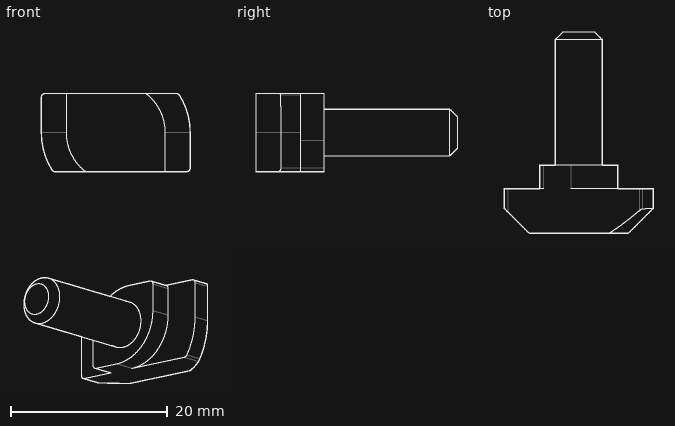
import cadquery as cq
import math


head_length = 19.0
head_width = 10.0
head_thickness = 5.7
rim_thickness = 2.5
head_turn_radius = 9.0
corner_radius = 0.5

neck_length = 3.0
neck_turn_radius = 6.0

shank_diameter = 6.0
shank_length = 17.0
tip_chamfer = 1.0

half_length = head_length / 2
half_width = head_width / 2
shank_radius = shank_diameter / 2
taper = head_thickness - rim_thickness
face_half_length = half_length - taper

Y_AXIS_START = (0, 0, 0)
Y_AXIS_END = (0, 1, 0)


def half_turn(body):
    """The body turned by 180 degrees about the bolt axis."""
    return body.rotate(Y_AXIS_START, Y_AXIS_END, 180)


def make_head_prism():
    """Untapered head: two opposite corners are turned to arcs tangent to the head's ends."""
    arc_center_x = half_length - head_turn_radius
    arc_angle = math.asin(half_width / head_turn_radius)
    arc_end_x = arc_center_x + head_turn_radius * math.cos(arc_angle)
    arc_mid = (
        arc_center_x + head_turn_radius * math.cos(arc_angle / 2),
        head_turn_radius * math.sin(arc_angle / 2),
    )
    outline = (
        cq.Workplane("XZ")
        .moveTo(half_length, -half_width)
        .lineTo(half_length, 0)
        .threePointArc(arc_mid, (arc_end_x, half_width))
        .lineTo(-half_length, half_width)
        .lineTo(-half_length, 0)
        .threePointArc((-arc_mid[0], -arc_mid[1]), (-arc_end_x, -half_width))
        .close()
    )
    prism = outline.extrude(head_thickness)
    corners = prism.edges("|Y").edges("<Z or >Z")
    return corners.fillet(corner_radius)


def taper_profile():
    """Half section of the head in the XY plane, from the axis out to the tapered end."""
    return (
        cq.Workplane("XY")
        .lineTo(half_length, 0)
        .lineTo(half_length, -rim_thickness)
        .lineTo(face_half_length, -head_thickness)
        .lineTo(0, -head_thickness)
        .close()
    )


def make_taper_envelope():
    """Space inside the tapered ends: flat slope on one half of each end, cone on the other."""
    flat_half = taper_profile().extrude(-half_width)
    cone_half = taper_profile().revolve(90, Y_AXIS_START, (0, -1, 0))
    end = flat_half.union(cone_half)
    return end.union(half_turn(end))


def make_neck():
    """Square neck, with two opposite corners turned to a large radius like the head's."""
    arc_start = half_width - neck_turn_radius
    arc_mid = arc_start + neck_turn_radius * math.sqrt(0.5)
    outline = (
        cq.Workplane("XZ")
        .moveTo(half_width, -half_width)
        .lineTo(half_width, arc_start)
        .threePointArc((arc_mid, arc_mid), (arc_start, half_width))
        .lineTo(-half_width, half_width)
        .lineTo(-half_width, -arc_start)
        .threePointArc((-arc_mid, -arc_mid), (-arc_start, -half_width))
        .close()
    )
    neck = outline.extrude(-neck_length)
    sharp_corners = neck.edges("|Y").edges("<(1, 0, -1) or >(1, 0, -1)")
    return sharp_corners.fillet(corner_radius)


def make_shank():
    """Round shank with a chamfered tip."""
    axis_start = (0, 0)
    axis_end = (1, 0)
    tip_y = neck_length + shank_length
    return (
        cq.Workplane("YZ")
        .lineTo(tip_y, 0)
        .lineTo(tip_y, shank_radius - tip_chamfer)
        .lineTo(tip_y - tip_chamfer, shank_radius)
        .lineTo(0, shank_radius)
        .close()
        .revolve(360, axis_start, axis_end)
    )


head = make_head_prism().intersect(make_taper_envelope())
result = head.union(make_neck()).union(make_shank())